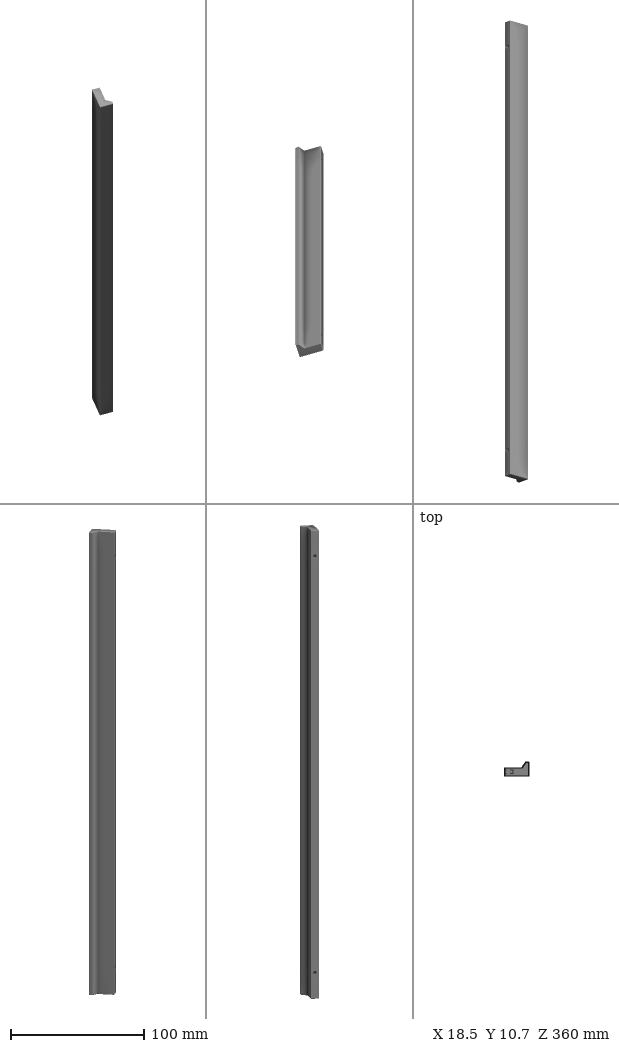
import cadquery as cq

WIDTH = 18.5
DEPTH = 10.65
LENGTH = 360.0

BAR_THICKNESS = 6.3
LIP_FOOT_X = 13.0
LIP_TIP_X = 16.0

BEVEL = 0.3

GROOVE_WIDTH = 1.0
GROOVE_DEPTH = 0.2

COUNTERBORE_DIAMETER = 4.0
COUNTERBORE_DEPTH = 0.5
HOLE_DIAMETER = 2.6
HOLE_DEPTH = 6.5
HOLE_END_DISTANCE = 20.0

EDGE_MIDDLE_Y = BAR_THICKNESS / 2


def make_strip():
    profile = [
        (0, 0),
        (WIDTH, 0),
        (WIDTH, DEPTH),
        (LIP_TIP_X, DEPTH),
        (LIP_FOOT_X, BAR_THICKNESS),
        (0, BAR_THICKNESS),
    ]
    return cq.Workplane("XY").polyline(profile).close().extrude(LENGTH)


def bevel_edges(strip):
    strip = strip.faces("<X or >X").edges("|Z").chamfer(BEVEL)
    return strip.faces("<Z or >Z").edges().chamfer(BEVEL)


def make_groove():
    groove = cq.Workplane("XY").box(GROOVE_DEPTH, GROOVE_WIDTH, LENGTH, centered=(False, True, False))
    return groove.translate((0, EDGE_MIDDLE_Y, 0))


def make_edge_bores(diameter, depth):
    centers = [
        (EDGE_MIDDLE_Y, HOLE_END_DISTANCE),
        (EDGE_MIDDLE_Y, LENGTH - HOLE_END_DISTANCE),
    ]
    return cq.Workplane("YZ").pushPoints(centers).circle(diameter / 2).extrude(depth)


result = (
    bevel_edges(make_strip())
    .cut(make_groove())
    .cut(make_edge_bores(COUNTERBORE_DIAMETER, COUNTERBORE_DEPTH))
    .cut(make_edge_bores(HOLE_DIAMETER, HOLE_DEPTH))
)